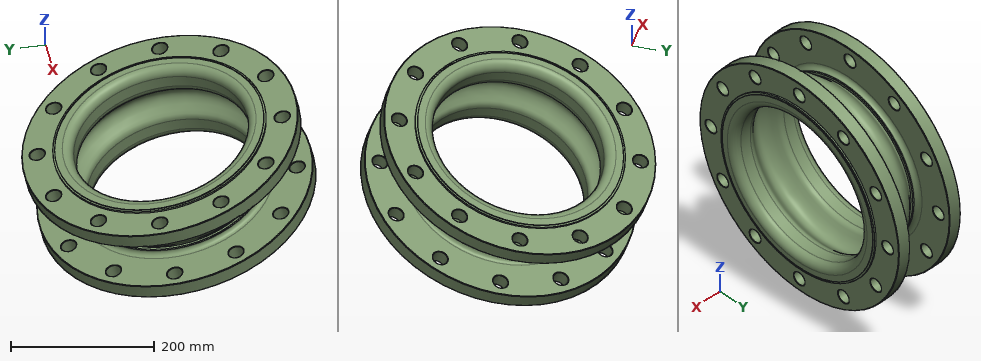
import cadquery as cq

face_x = 64.98
bore_radius = 125.0
wall = 4.95
crest_height = 19.8
wave_half_width = 33.0
wave_mid_x = 18.0
lip_radius = 152.5
lip_thickness = 4.0
lip_step_width = 2.95
lip_step_depth = 1.0
mouth_fillet = 13.5

flange_radius = 197.5
flange_thickness = 22.0
flange_edge_chamfer = 1.0
collar_radius = 135.5
collar_end_x = 29.2
collar_root_fillet = 7.5
collar_edge_chamfer = 1.0

bolt_count = 12
bolt_circle_radius = 175.0
bolt_hole_diameter = 21.7
bolt_hole_chamfer = 0.8

sleeve_radius = bore_radius + wall
flange_outer_x = face_x - lip_thickness
flange_inner_x = flange_outer_x - flange_thickness
seat_fillet = mouth_fillet - lip_thickness

END_TANGENT = (1, 0)


def revolve_about_x(profile):
    return profile.close().revolve(360, (0, 0, 0), (1, 0, 0))


def revolved_wave(radius):
    """Solid of revolution spanning both faces, with straight ends and one wave in the middle."""
    middle = radius + crest_height / 2
    crest = radius + crest_height
    return revolve_about_x(
        cq.Workplane("XY")
        .moveTo(-face_x, 0)
        .lineTo(-face_x, radius)
        .lineTo(-wave_half_width, radius)
        .spline(
            [(-wave_mid_x, middle), (0, crest), (wave_mid_x, middle), (wave_half_width, radius)],
            tangents=[END_TANGENT, END_TANGENT],
            includeCurrent=True,
        )
        .lineTo(face_x, radius)
        .lineTo(face_x, 0)
    )


def lip(side):
    """Lip at one end of the sleeve, with the bend that fills the rounded flange mouth."""
    face = side * face_x
    step = side * (face_x - lip_step_depth)
    back = side * flange_outer_x
    bend_start = side * (flange_outer_x - seat_fillet)
    return revolve_about_x(
        cq.Workplane("XY")
        .moveTo(face, bore_radius)
        .lineTo(face, lip_radius - lip_step_width)
        .lineTo(step, lip_radius - lip_step_width)
        .lineTo(step, lip_radius)
        .lineTo(back, lip_radius)
        .lineTo(back, sleeve_radius + seat_fillet)
        .radiusArc((bend_start, sleeve_radius), side * seat_fillet)
        .lineTo(bend_start, bore_radius)
    )


def mouth_round(side):
    """Ring cut from the bore at one end to round its mouth."""
    face = side * face_x
    bend_start = side * (face_x - mouth_fillet)
    return revolve_about_x(
        cq.Workplane("XY")
        .moveTo(face, bore_radius)
        .lineTo(face, bore_radius + mouth_fillet)
        .radiusArc((bend_start, bore_radius), side * mouth_fillet)
    )


def make_sleeve():
    """Rubber sleeve: a waved tube with a lip turned out over each flange."""
    sleeve = revolved_wave(sleeve_radius).cut(revolved_wave(bore_radius))
    for side in (-1, 1):
        sleeve = sleeve.union(lip(side)).cut(mouth_round(side))
    return sleeve


def bolt_hole(side):
    """Cutter for one bolt hole on the X axis, flared at both flange faces."""
    outer = side * flange_outer_x
    inner = side * flange_inner_x
    chamfer = side * bolt_hole_chamfer
    radius = bolt_hole_diameter / 2
    return revolve_about_x(
        cq.Workplane("XY")
        .moveTo(outer, 0)
        .lineTo(outer, radius + bolt_hole_chamfer)
        .lineTo(outer - chamfer, radius)
        .lineTo(inner + chamfer, radius)
        .lineTo(inner, radius + bolt_hole_chamfer)
        .lineTo(inner, 0)
    )


def make_flange(side, sleeve):
    """Drilled flange with a collar towards the middle, its bore shaped by the sleeve it holds."""
    outer = side * flange_outer_x
    inner = side * flange_inner_x
    collar_end = side * collar_end_x
    edge = side * flange_edge_chamfer
    root = side * collar_root_fillet
    flange = revolve_about_x(
        cq.Workplane("XY")
        .moveTo(outer, sleeve_radius)
        .lineTo(outer, flange_radius - flange_edge_chamfer)
        .lineTo(outer - edge, flange_radius)
        .lineTo(inner + edge, flange_radius)
        .lineTo(inner, flange_radius - flange_edge_chamfer)
        .lineTo(inner, collar_radius + collar_root_fillet)
        .radiusArc((inner - root, collar_radius), root)
        .lineTo(collar_end + side * collar_edge_chamfer, collar_radius)
        .lineTo(collar_end, collar_radius - collar_edge_chamfer)
        .lineTo(collar_end, sleeve_radius)
    )
    hole = bolt_hole(side).translate((0, 0, bolt_circle_radius))
    for index in range(bolt_count):
        flange = flange.cut(hole.rotate((0, 0, 0), (1, 0, 0), index * 360 / bolt_count))
    return flange.cut(sleeve)


sleeve = make_sleeve()
flanges = [make_flange(side, sleeve) for side in (-1, 1)]
result = cq.Compound.makeCompound([sleeve.val(), *[flange.val() for flange in flanges]])